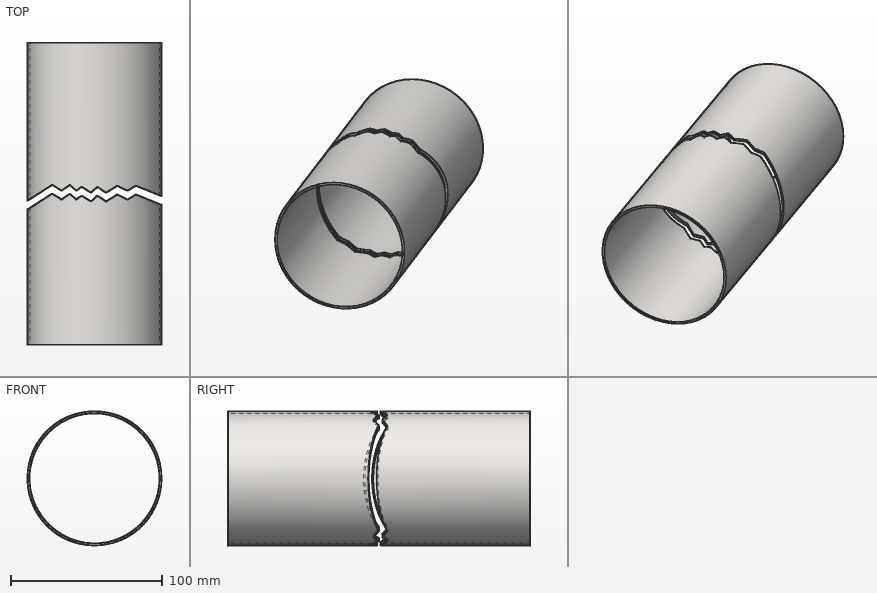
import cadquery as cq

OUTER_DIAMETER = 88.9
WALL = 1.5
LENGTH = 200.0
BREAK_GAP = 5.7

OUTER_RADIUS = OUTER_DIAMETER / 2
INNER_RADIUS = OUTER_RADIUS - WALL
HALF_LENGTH = LENGTH / 2

BREAK_EDGE = [
    (-OUTER_RADIUS, -4.7),
    (-28.0, 5.9),
    (-21.8, 2.0),
    (-16.3, 5.8),
    (-12.0, 2.0),
    (-8.6, 4.6),
    (-2.3, 0.7),
    (1.8, 4.6),
    (7.6, 0.7),
    (15.1, 5.3),
    (21.8, 2.0),
    (27.4, 5.3),
    (OUTER_RADIUS, -1.6),
]


def full_tube():
    """Plain round tube centred on the origin, running along Y."""
    return (
        cq.Workplane("XZ", origin=(0, HALF_LENGTH, 0))
        .circle(OUTER_RADIUS)
        .circle(INNER_RADIUS)
        .extrude(LENGTH)
    )


def tube_piece(edge, end_y):
    """Part of the tube between a jagged edge, cut straight through in Z, and the end at end_y."""
    outline = edge + [(OUTER_RADIUS, end_y), (-OUTER_RADIUS, end_y)]
    region = cq.Workplane("XY").polyline(outline).close().extrude(OUTER_RADIUS, both=True)
    return full_tube().intersect(region).solids()


rear_tube = tube_piece(BREAK_EDGE, HALF_LENGTH)

front_edge = [(x, y - BREAK_GAP) for x, y in BREAK_EDGE]
front_tube = tube_piece(front_edge, -HALF_LENGTH)

result = cq.Compound.makeCompound([rear_tube.val(), front_tube.val()])